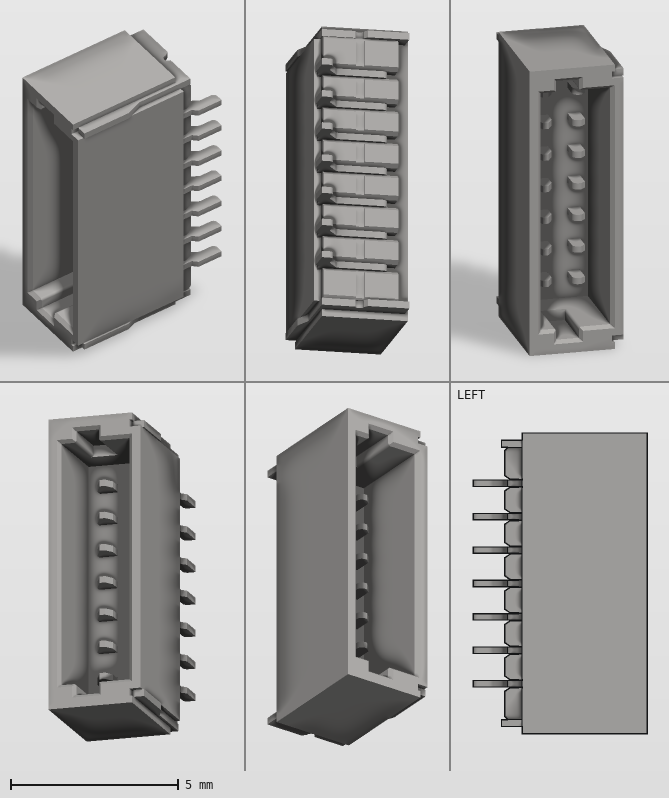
import cadquery as cq


HOUSING_HEIGHT = 9.0
HOUSING_WIDTH = 2.63
HOUSING_DEPTH = 3.74
FOOT_X = 2.9
FOOT_DEPTH = 3.86
FOOT_HEIGHT = 8.14

CAVITY_LEFT = 0.37
CAVITY_RIGHT = 2.51
CAVITY_HALF_HEIGHT = 3.74
CAVITY_DEPTH = 2.79
KEY_LEFT = 0.85
KEY_RIGHT = 1.55
KEY_HALF_HEIGHT = 4.095
KEY_DEPTH = 1.8
KEY_EDGE_RADIUS = 0.08
BEVEL_DEPTH = 0.13
BEVEL = 0.1
BEVEL_WIDE = HOUSING_WIDTH - CAVITY_RIGHT

CONTACT_COUNT = 7
PITCH = 1.0
CONTACT_THICKNESS = 0.2
END_SLOT_WIDTH = 0.24
ARM_TIP_Y = 2.07
SPRING_LEFT, SPRING_RIGHT = 0.7, 1.28
SPRING_TIP_LEFT, SPRING_TIP_RIGHT = 0.945, 1.12
SPRING_OUTER_SLOPE = 0.54
SPRING_INNER_SLOPE = 0.27
BLADE_LEFT, BLADE_RIGHT = 1.88, 2.27
BLADE_TIP_RADIUS = 0.18
BLADE_BEVEL = 0.135
LOOP_TOP_Y = 4.185
LOOP_RADIUS = 0.18
TAIL_X = 2.95
TAIL_WIDTH = 0.36
TAIL_END_Y = 5.21
TAIL_TIP_RADIUS = 0.14
HIP_X = 2.29
SHOULDER_Y = 4.65
SHOULDER_RADIUS = 0.18
HEEL_Y = 4.22
HEEL_BEVEL = 0.14

RIB_LEFT, RIB_RIGHT = 0.4, 2.69
RIB_TOP_Y = 4.27
RIB_END_CHAMFER = 0.09
GROOVE_FLARE_WIDTH = 0.45
GROOVE_WIDTH = 0.23
GROOVE_FLARE_Y = 4.1
CHANNEL_DEPTH = 0.04

PLATE_INNER_Z = FOOT_HEIGHT / 2
PLATE_THICKNESS = 0.22
PLATE_LEFT = 0.09
PLATE_NECK_X = 2.74
PLATE_FRONT_Y = 0.19
PLATE_REAR_Y = 4.365
PLATE_STEP_Y = 4.22
PLATE_ROOT_Y = 3.42
PLATE_FOOT_END_Y = 1.82
PLATE_NECK_Y = 2.37
NOTCH_LEFT, NOTCH_RIGHT = 1.45, 1.7
NOTCH_BEVEL = 0.1
NOTCH_BOTTOM_Y = 4.09
SLOT_LEFT = 2.55
PLATE_CORNER_RADIUS = 0.135


def box(x0, x1, y0, y1, z0, z1):
    return cq.Workplane("XY").box(x1 - x0, y1 - y0, z1 - z0, centered=False).translate((x0, y0, z0))


def mirrored_box(x0, x1, y0, y1, half_height):
    return box(x0, x1, y0, y1, -half_height, half_height)


def lead_in(x0, x1, half_height, right_bevel):
    """Tapered opening that narrows to the given rectangle at the bevel depth."""
    mid_x = (x0 + x1) / 2
    front_mid_x = mid_x + (right_bevel - BEVEL) / 2
    return (
        cq.Workplane("XZ")
        .center(front_mid_x, 0)
        .rect(x1 - x0 + BEVEL + right_bevel, 2 * (half_height + BEVEL))
        .workplane(offset=-BEVEL_DEPTH)
        .center(mid_x - front_mid_x, 0)
        .rect(x1 - x0, 2 * half_height)
        .loft()
    )


def housing():
    shell = mirrored_box(0, HOUSING_WIDTH, 0, HOUSING_DEPTH, HOUSING_HEIGHT / 2)
    foot = mirrored_box(SLOT_LEFT, FOOT_X, 0, FOOT_DEPTH, FOOT_HEIGHT / 2)
    cavity = mirrored_box(CAVITY_LEFT, CAVITY_RIGHT, 0, CAVITY_DEPTH, CAVITY_HALF_HEIGHT)
    keys = mirrored_box(KEY_LEFT, KEY_RIGHT, 0, KEY_DEPTH, KEY_HALF_HEIGHT)
    cavity_bevel = lead_in(CAVITY_LEFT, CAVITY_RIGHT, CAVITY_HALF_HEIGHT, BEVEL_WIDE)
    key_bevel = lead_in(KEY_LEFT, KEY_RIGHT, KEY_HALF_HEIGHT, BEVEL)
    opening = cavity.union(keys)
    for x in (KEY_LEFT, KEY_RIGHT):
        for z in (-CAVITY_HALF_HEIGHT, CAVITY_HALF_HEIGHT):
            key_edge = cq.selectors.NearestToPointSelector((x, KEY_DEPTH / 2, z))
            opening = opening.edges("|Y").edges(key_edge).fillet(KEY_EDGE_RADIUS)
    return shell.union(foot).cut(opening).cut(cavity_bevel).cut(key_bevel)


def rear_block():
    block = mirrored_box(RIB_LEFT, RIB_RIGHT, CAVITY_DEPTH, RIB_TOP_Y, FOOT_HEIGHT / 2)
    block = block.faces(">Y").edges("|X").chamfer(RIB_END_CHAMFER)
    channel = mirrored_box(
        NOTCH_LEFT, NOTCH_RIGHT, RIB_TOP_Y - CHANNEL_DEPTH, RIB_TOP_Y, HOUSING_HEIGHT / 2
    )
    return block.cut(channel)


def groove(z):
    """Slot between two ribs, flared towards the rear."""
    return (
        cq.Workplane("YZ")
        .moveTo(HOUSING_DEPTH, -GROOVE_WIDTH / 2)
        .lineTo(GROOVE_FLARE_Y, -GROOVE_WIDTH / 2)
        .lineTo(RIB_TOP_Y, -GROOVE_FLARE_WIDTH / 2)
        .lineTo(RIB_TOP_Y, GROOVE_FLARE_WIDTH / 2)
        .lineTo(GROOVE_FLARE_Y, GROOVE_WIDTH / 2)
        .lineTo(HOUSING_DEPTH, GROOVE_WIDTH / 2)
        .close()
        .extrude(RIB_RIGHT)
        .translate((0, 0, z))
    )


def end_slots(z):
    """Clearance slots through the cavity floor for both arms of a contact."""
    half = END_SLOT_WIDTH / 2
    slots = cq.Workplane("XY")
    for x0, x1 in ((SPRING_LEFT, SPRING_RIGHT), (BLADE_LEFT, BLADE_RIGHT)):
        slots = slots.union(box(x0, x1, CAVITY_DEPTH, HOUSING_DEPTH, z - half, z + half))
    return slots


def spring_arm():
    """Arm with a pointed tip, steep on the outer side and shallower on the inner side."""
    return (
        cq.Workplane("XY")
        .moveTo(SPRING_LEFT, HOUSING_DEPTH)
        .lineTo(SPRING_LEFT, ARM_TIP_Y + SPRING_OUTER_SLOPE)
        .lineTo(SPRING_TIP_LEFT, ARM_TIP_Y)
        .lineTo(SPRING_TIP_RIGHT, ARM_TIP_Y)
        .lineTo(SPRING_RIGHT, ARM_TIP_Y + SPRING_INNER_SLOPE)
        .lineTo(SPRING_RIGHT, HOUSING_DEPTH)
        .close()
        .extrude(CONTACT_THICKNESS)
    )


def blade_arm():
    """Arm with one rounded and one bevelled tip corner."""
    return (
        cq.Workplane("XY")
        .moveTo(BLADE_LEFT, HOUSING_DEPTH)
        .lineTo(BLADE_LEFT, ARM_TIP_Y + BLADE_TIP_RADIUS)
        .radiusArc((BLADE_LEFT + BLADE_TIP_RADIUS, ARM_TIP_Y), -BLADE_TIP_RADIUS)
        .lineTo(BLADE_RIGHT - BLADE_BEVEL, ARM_TIP_Y)
        .lineTo(BLADE_RIGHT, ARM_TIP_Y + BLADE_BEVEL)
        .lineTo(BLADE_RIGHT, HOUSING_DEPTH)
        .close()
        .extrude(CONTACT_THICKNESS)
    )


def loop_and_tail():
    """Bar behind the cavity floor that joins the arms and turns into the solder tail."""
    tail_left = TAIL_X - TAIL_WIDTH
    shoulder = cq.selectors.NearestToPointSelector((tail_left, SHOULDER_Y, CONTACT_THICKNESS / 2))
    return (
        cq.Workplane("XY")
        .moveTo(SPRING_LEFT + LOOP_RADIUS, CAVITY_DEPTH)
        .lineTo(SPRING_LEFT + LOOP_RADIUS, HOUSING_DEPTH)
        .radiusArc((SPRING_LEFT, HOUSING_DEPTH + LOOP_RADIUS), LOOP_RADIUS)
        .lineTo(SPRING_LEFT, LOOP_TOP_Y - LOOP_RADIUS)
        .radiusArc((SPRING_LEFT + LOOP_RADIUS, LOOP_TOP_Y), LOOP_RADIUS)
        .lineTo(HIP_X, LOOP_TOP_Y)
        .lineTo(tail_left, SHOULDER_Y)
        .lineTo(tail_left, TAIL_END_Y - TAIL_TIP_RADIUS)
        .radiusArc((tail_left + TAIL_TIP_RADIUS, TAIL_END_Y), TAIL_TIP_RADIUS)
        .lineTo(TAIL_X, TAIL_END_Y)
        .lineTo(TAIL_X, HEEL_Y + HEEL_BEVEL)
        .lineTo(TAIL_X - HEEL_BEVEL, HEEL_Y)
        .lineTo(TAIL_X - HEEL_BEVEL, CAVITY_DEPTH)
        .close()
        .extrude(CONTACT_THICKNESS)
        .edges("|Z")
        .edges(shoulder)
        .fillet(SHOULDER_RADIUS)
    )


def contact(z):
    flat = spring_arm().union(blade_arm()).union(loop_and_tail())
    return flat.translate((0, 0, z - CONTACT_THICKNESS / 2))


def plate_slot():
    slot_outer_z = PLATE_INNER_Z + PLATE_THICKNESS
    return box(SLOT_LEFT, FOOT_X, 0, HOUSING_DEPTH, PLATE_INNER_Z, slot_outer_z)


def hold_down_plate():
    """Plate with a foot along the solder side and a notched edge behind the housing."""
    return (
        cq.Workplane("XY")
        .moveTo(SLOT_LEFT + PLATE_CORNER_RADIUS, PLATE_FRONT_Y)
        .lineTo(TAIL_X, PLATE_FRONT_Y)
        .lineTo(TAIL_X, PLATE_FOOT_END_Y)
        .lineTo(PLATE_NECK_X, PLATE_NECK_Y)
        .lineTo(PLATE_NECK_X, PLATE_STEP_Y)
        .lineTo(NOTCH_RIGHT, PLATE_STEP_Y)
        .threePointArc(
            ((NOTCH_LEFT + NOTCH_RIGHT) / 2, NOTCH_BOTTOM_Y),
            (NOTCH_LEFT, PLATE_STEP_Y),
        )
        .lineTo(NOTCH_LEFT - NOTCH_BEVEL, PLATE_REAR_Y)
        .lineTo(PLATE_LEFT, PLATE_REAR_Y)
        .lineTo(PLATE_LEFT, PLATE_ROOT_Y)
        .lineTo(SLOT_LEFT, PLATE_ROOT_Y)
        .lineTo(SLOT_LEFT, PLATE_FRONT_Y + PLATE_CORNER_RADIUS)
        .radiusArc((SLOT_LEFT + PLATE_CORNER_RADIUS, PLATE_FRONT_Y), -PLATE_CORNER_RADIUS)
        .close()
        .extrude(PLATE_THICKNESS)
        .translate((0, 0, PLATE_INNER_Z))
    )


contact_heights = [(i - (CONTACT_COUNT - 1) / 2) * PITCH for i in range(CONTACT_COUNT)]

result = housing().union(rear_block())
for height in contact_heights:
    result = result.cut(groove(height))
for height in (contact_heights[0], contact_heights[-1]):
    result = result.cut(end_slots(height))

for height in contact_heights:
    result = result.union(contact(height))

slot = plate_slot()
plate = hold_down_plate()
result = result.cut(slot).cut(slot.mirror("XY"))
result = result.union(plate).union(plate.mirror("XY"))